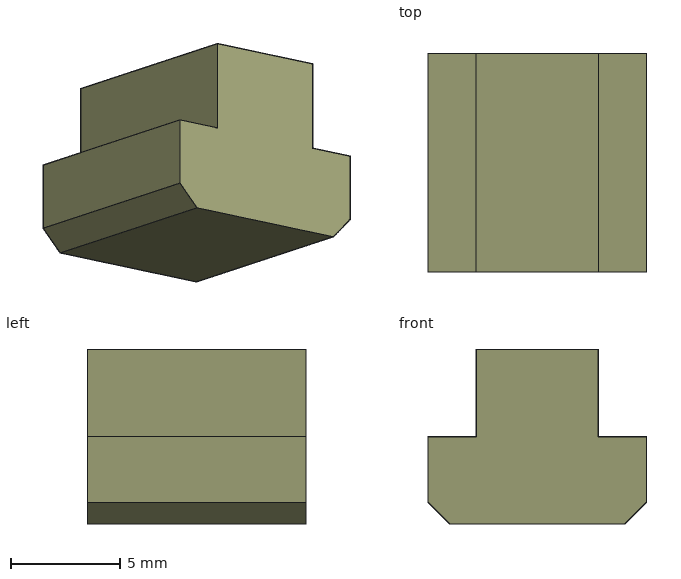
import cadquery as cq

length = 10.0
flange_width = 10.0
flange_height = 4.0
stem_width = 5.6
total_height = 8.0
chamfer_size = 1.0

flange = (
    cq.Workplane("XY")
    .box(flange_width, length, flange_height, centered=(True, True, False))
    .faces("<Z")
    .edges("|Y")
    .chamfer(chamfer_size)
)

stem = (
    cq.Workplane("XY")
    .workplane(offset=flange_height)
    .box(stem_width, length, total_height - flange_height, centered=(True, True, False))
)

result = flange.union(stem)